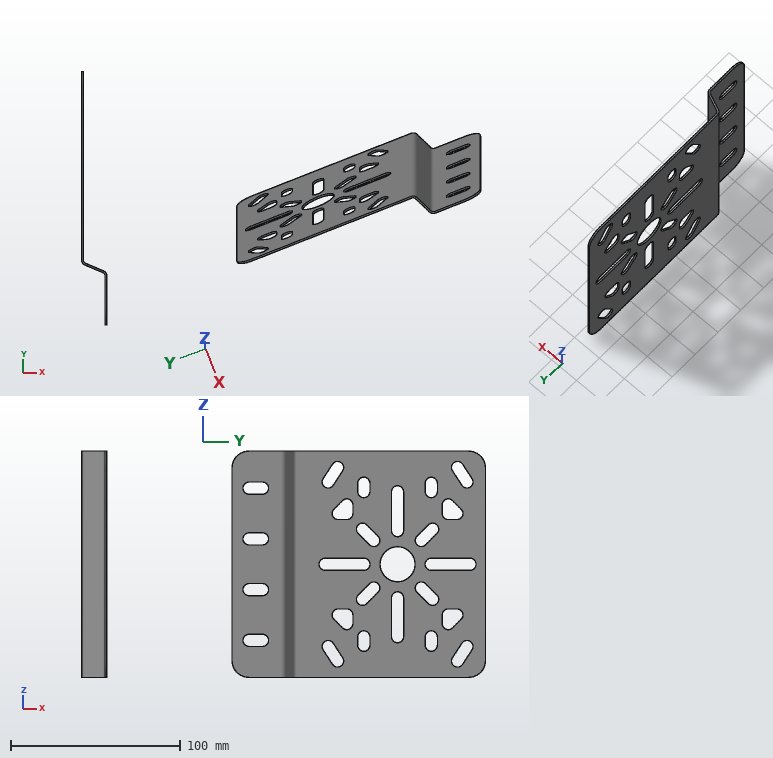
import cadquery as cq
import math

depth = 15.0
length = 150.0
height = 134.0
thickness = 1.2
corner_radius = 10.0

bend_angle = 67
inner_bend_radius = 2.0
outer_bend_radius = inner_bend_radius + thickness
panel_bend_y = -38.7

slot_width = 7.0
pattern_y = 23.0
center_hole_diameter = 20.5
cross_slot_length = 30.0
cross_slot_radius = 31.4
diagonal_slot_length = 16.5
diagonal_slot_radius = 24.6
short_slot_length = 12.0
short_slot_offset = (20.0, 45.5)
corner_slot_length = 17.2
corner_slot_offset = (38.2, 53.0)
corner_slot_angle = 57
triangle_start = 30.0
triangle_leg = 5.1
flange_slot_length = 15.0
flange_slot_y = -60.9
flange_slot_pitch = 30.0
flange_slot_count = 4


def joggled_sheet():
    """Sheet with two opposite bends, extruded along Z and centred on Z = 0."""
    step = depth - thickness
    flange_bend_y = panel_bend_y - step / math.tan(math.radians(bend_angle))
    corner_shift = thickness * math.tan(math.radians(bend_angle / 2))
    low_face = [(0, length / 2), (0, panel_bend_y), (step, flange_bend_y), (step, -length / 2)]
    high_face = [
        (depth, -length / 2),
        (depth, flange_bend_y + corner_shift),
        (thickness, panel_bend_y + corner_shift),
        (thickness, length / 2),
    ]
    sheet = cq.Workplane("XY").polyline(low_face + high_face).close().extrude(height / 2, both=True)

    def bend_edge(point):
        """Selector for the vertical bend edge through a profile corner."""
        return cq.selectors.NearestToPointSelector((point[0], point[1], 0))

    for outer, inner in ((low_face[1], high_face[2]), (high_face[1], low_face[2])):
        sheet = sheet.edges(bend_edge(outer)).fillet(outer_bend_radius)
        sheet = sheet.edges(bend_edge(inner)).fillet(inner_bend_radius)
    return sheet.edges("(<Y or >Y) and |X").fillet(corner_radius)


def slot_cutter(y, z, slot_length, angle):
    """Round-ended slot through the whole depth; angle is measured from +Y toward +Z."""
    return (
        cq.Workplane("YZ")
        .center(y, z)
        .slot2D(slot_length, slot_width, angle)
        .extrude(depth)
    )


def triangle_cutter(side_y, side_z):
    """Right-angled triangular opening with rounded corners in one quadrant of the pattern."""
    y = pattern_y + side_y * triangle_start
    z = side_z * triangle_start
    arc_centers = [(y, z), (y + side_y * triangle_leg, z), (y, z + side_z * triangle_leg)]
    return (
        cq.Workplane("YZ")
        .polyline(arc_centers)
        .close()
        .offset2D(slot_width / 2, "arc")
        .extrude(depth)
    )


def pattern_cutters():
    """Openings of the main panel, mirrored about its pattern centre."""
    cutters = [cq.Workplane("YZ").center(pattern_y, 0).circle(center_hole_diameter / 2).extrude(depth)]

    for angle in range(0, 360, 45):
        on_axis = angle % 90 == 0
        radius = cross_slot_radius if on_axis else diagonal_slot_radius
        slot_length = cross_slot_length if on_axis else diagonal_slot_length
        y = pattern_y + radius * math.cos(math.radians(angle))
        z = radius * math.sin(math.radians(angle))
        cutters.append(slot_cutter(y, z, slot_length, angle))

    for side_y in (-1, 1):
        for side_z in (-1, 1):
            short_y = pattern_y + side_y * short_slot_offset[0]
            cutters.append(slot_cutter(short_y, side_z * short_slot_offset[1], short_slot_length, 90))
            corner_y = pattern_y + side_y * corner_slot_offset[0]
            corner_z = side_z * corner_slot_offset[1]
            tilt = -side_y * side_z * corner_slot_angle
            cutters.append(slot_cutter(corner_y, corner_z, corner_slot_length, tilt))
            cutters.append(triangle_cutter(side_y, side_z))
    return cutters


def flange_cutters():
    """Column of horizontal slots along the mounting flange."""
    first_z = -flange_slot_pitch * (flange_slot_count - 1) / 2
    return [
        slot_cutter(flange_slot_y, first_z + i * flange_slot_pitch, flange_slot_length, 0)
        for i in range(flange_slot_count)
    ]


result = joggled_sheet()
for cutter in pattern_cutters() + flange_cutters():
    result = result.cut(cutter)